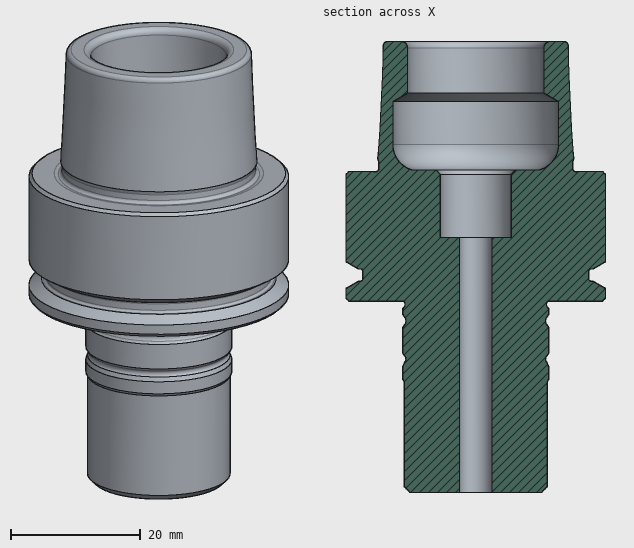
import cadquery as cq
import math


TOTAL_HEIGHT = 69.5
TAPER_LENGTH = 20.0
FLANGE_WIDTH = 20.0
FLANGE_TOP = TOTAL_HEIGHT - TAPER_LENGTH
FLANGE_BOTTOM = FLANGE_TOP - FLANGE_WIDTH

FLANGE_RADIUS = 40.0 / 2
FLANGE_CHAMFER = 0.5
GRIPPER_ROOT_RADIUS = 34.8 / 2
GRIPPER_CENTRE_Z = FLANGE_BOTTOM + 4.0
GRIPPER_RIM_WIDTH = 4.1
GRIPPER_FLANK_ANGLE = math.radians(30)
GRIPPER_SLOT_WIDTH = 1.9
GRIPPER_SLOT_FILLET = 0.4

TAPER_BASE_RADIUS = 30.2 / 2
TAPER_TOP_RADIUS = 28.5 / 2
TAPER_BASE_Z = FLANGE_TOP + 1.95
TAPER_TOP_FILLET = 0.75
NECK_RADIUS = 29.9 / 2
NECK_SHOULDER_DROP = 0.55
NECK_FOOT_FILLET = 0.55
RECESS_OUTER_RADIUS = 32.25 / 2
RECESS_DEPTH = 0.1
RECESS_FLOOR_Z = FLANGE_TOP - RECESS_DEPTH

SHANK_RADIUS = 22.0 / 2
SHANK_CHAMFER = 0.9
BAND_RADIUS = 22.5 / 2
LOWER_BAND_BOTTOM = 17.45
LOWER_BAND_TOP = 19.4
LOWER_BAND_TOP_BEVEL = 0.7
MIDDLE_BAND_BOTTOM = 21.5
MIDDLE_BAND_TOP = 25.45
UPPER_BAND_BOTTOM = 27.45
UPPER_BAND_TOP = 28.35
BAND_CHAMFER_HEIGHT = 0.4
BAND_CHAMFER_DEPTH = 0.3
UPPER_BAND_LIP = 0.15
GROOVE_SAG = 0.2

MOUTH_RADIUS = 21.0 / 2
MOUTH_FILLET = 1.05
MOUTH_BOTTOM = TOTAL_HEIGHT - 8.0
CLAMP_RADIUS = 25.5 / 2
CLAMP_SHOULDER_ANGLE = math.radians(30)
CLAMP_WALL_BOTTOM = 53.6
CLAMP_CORNER_ARC = 4.0
CLAMP_FLOOR_RADIUS = 19.75 / 2
COUPLING_RADIUS = 10.9 / 2
COUPLING_CHAMFER = 0.7
COUPLING_DEPTH = 10.4
COOLANT_RADIUS = 5.0 / 2

ARC_MIDPOINT_INSET = 1 - math.sqrt(0.5)


def turned(profile):
    """Revolve a closed (radius, z) profile a full turn about the Z axis."""
    return profile.close().revolve(360, (0, 0), (0, 1))


def band_groove(profile, lower_band_top, lower_bevel_height, upper_band_bottom):
    """Continue the shank outline up over a band edge, a hollow and the next band edge."""
    root_radius = BAND_RADIUS - BAND_CHAMFER_DEPTH
    arc_bottom = lower_band_top + lower_bevel_height
    arc_top = upper_band_bottom - BAND_CHAMFER_HEIGHT
    return (
        profile.lineTo(BAND_RADIUS, lower_band_top)
        .lineTo(root_radius, arc_bottom)
        .threePointArc((root_radius - GROOVE_SAG, (arc_bottom + arc_top) / 2), (root_radius, arc_top))
        .lineTo(BAND_RADIUS, upper_band_bottom)
    )


def make_shank():
    """Chamfered plain shank, three bands and the hollow under the flange."""
    lip_radius = BAND_RADIUS - UPPER_BAND_LIP
    lip_top = UPPER_BAND_TOP + UPPER_BAND_LIP
    profile = (
        cq.Workplane("XZ")
        .lineTo(SHANK_RADIUS - SHANK_CHAMFER, 0)
        .lineTo(SHANK_RADIUS, SHANK_CHAMFER)
        .lineTo(SHANK_RADIUS, LOWER_BAND_BOTTOM - BAND_CHAMFER_HEIGHT)
        .lineTo(BAND_RADIUS, LOWER_BAND_BOTTOM)
    )
    profile = band_groove(profile, LOWER_BAND_TOP, LOWER_BAND_TOP_BEVEL, MIDDLE_BAND_BOTTOM)
    profile = band_groove(profile, MIDDLE_BAND_TOP, BAND_CHAMFER_HEIGHT, UPPER_BAND_BOTTOM)
    profile = (
        profile.lineTo(BAND_RADIUS, UPPER_BAND_TOP)
        .lineTo(lip_radius, lip_top)
        .threePointArc(
            (lip_radius - GROOVE_SAG, (lip_top + FLANGE_BOTTOM) / 2),
            (lip_radius, FLANGE_BOTTOM),
        )
        .lineTo(0, FLANGE_BOTTOM)
    )
    return turned(profile)


def make_flange():
    """Flange disc with chamfered rims."""
    disc = cq.Workplane("XY").workplane(offset=FLANGE_BOTTOM).circle(FLANGE_RADIUS).extrude(FLANGE_WIDTH)
    return disc.edges().chamfer(FLANGE_CHAMFER)


def make_gripper_groove():
    """Ring that cuts the V groove and the narrow slot, with rounded corners, at its root."""
    half_rim = GRIPPER_RIM_WIDTH / 2
    half_slot = GRIPPER_SLOT_WIDTH / 2
    flank_depth = (half_rim - half_slot) / math.tan(GRIPPER_FLANK_ANGLE)
    flank_foot_radius = FLANGE_RADIUS - flank_depth
    profile = (
        cq.Workplane("XZ")
        .moveTo(FLANGE_RADIUS, GRIPPER_CENTRE_Z - half_rim)
        .lineTo(flank_foot_radius, GRIPPER_CENTRE_Z - half_slot)
        .lineTo(GRIPPER_ROOT_RADIUS, GRIPPER_CENTRE_Z - half_slot)
        .lineTo(GRIPPER_ROOT_RADIUS, GRIPPER_CENTRE_Z + half_slot)
        .lineTo(flank_foot_radius, GRIPPER_CENTRE_Z + half_slot)
        .lineTo(FLANGE_RADIUS, GRIPPER_CENTRE_Z + half_rim)
    )
    root_edges = cq.selectors.RadiusNthSelector(0)
    return turned(profile).edges("%CIRCLE").edges(root_edges).fillet(GRIPPER_SLOT_FILLET)


def make_face_recess():
    """Ring that cuts the shallow dish into the flange face around the neck."""
    profile = (
        cq.Workplane("XZ")
        .moveTo(NECK_RADIUS, RECESS_FLOOR_Z)
        .lineTo(NECK_RADIUS + NECK_FOOT_FILLET, RECESS_FLOOR_Z)
        .lineTo(RECESS_OUTER_RADIUS, FLANGE_TOP)
        .lineTo(NECK_RADIUS, FLANGE_TOP)
    )
    return turned(profile)


def make_taper():
    """Taper with a rounded end, on a slightly smaller neck that flares into the recess."""
    foot_radius = NECK_RADIUS + NECK_FOOT_FILLET
    foot_top = RECESS_FLOOR_Z + NECK_FOOT_FILLET
    foot_arc_inset = NECK_FOOT_FILLET * ARC_MIDPOINT_INSET
    profile = (
        cq.Workplane("XZ")
        .moveTo(0, FLANGE_BOTTOM)
        .lineTo(foot_radius, FLANGE_BOTTOM)
        .lineTo(foot_radius, RECESS_FLOOR_Z)
        .threePointArc(
            (NECK_RADIUS + foot_arc_inset, RECESS_FLOOR_Z + foot_arc_inset),
            (NECK_RADIUS, foot_top),
        )
        .lineTo(NECK_RADIUS, TAPER_BASE_Z - NECK_SHOULDER_DROP)
        .lineTo(TAPER_BASE_RADIUS, TAPER_BASE_Z)
        .lineTo(TAPER_TOP_RADIUS, TOTAL_HEIGHT)
        .lineTo(0, TOTAL_HEIGHT)
    )
    return turned(profile).faces(">Z").edges().fillet(TAPER_TOP_FILLET)


def make_bore():
    """Clamping bore, coupling bore and coolant hole as one cutting body."""
    corner_centre_radius = CLAMP_RADIUS - CLAMP_CORNER_ARC
    corner_angle = math.acos((CLAMP_FLOOR_RADIUS - corner_centre_radius) / CLAMP_CORNER_ARC)
    floor_z = CLAMP_WALL_BOTTOM - CLAMP_CORNER_ARC * math.sin(corner_angle)
    corner_arc_middle = (
        corner_centre_radius + CLAMP_CORNER_ARC * math.cos(corner_angle / 2),
        CLAMP_WALL_BOTTOM - CLAMP_CORNER_ARC * math.sin(corner_angle / 2),
    )
    mouth_arc_inset = MOUTH_FILLET * ARC_MIDPOINT_INSET
    shoulder_drop = (CLAMP_RADIUS - MOUTH_RADIUS) * math.tan(CLAMP_SHOULDER_ANGLE)
    coupling_bottom = floor_z - COUPLING_DEPTH
    profile = (
        cq.Workplane("XZ")
        .lineTo(COOLANT_RADIUS, 0)
        .lineTo(COOLANT_RADIUS, coupling_bottom)
        .lineTo(COUPLING_RADIUS, coupling_bottom)
        .lineTo(COUPLING_RADIUS, floor_z - COUPLING_CHAMFER)
        .lineTo(COUPLING_RADIUS + COUPLING_CHAMFER, floor_z)
        .lineTo(CLAMP_FLOOR_RADIUS, floor_z)
        .threePointArc(corner_arc_middle, (CLAMP_RADIUS, CLAMP_WALL_BOTTOM))
        .lineTo(CLAMP_RADIUS, MOUTH_BOTTOM - shoulder_drop)
        .lineTo(MOUTH_RADIUS, MOUTH_BOTTOM)
        .lineTo(MOUTH_RADIUS, TOTAL_HEIGHT - MOUTH_FILLET)
        .threePointArc(
            (MOUTH_RADIUS + mouth_arc_inset, TOTAL_HEIGHT - mouth_arc_inset),
            (MOUTH_RADIUS + MOUTH_FILLET, TOTAL_HEIGHT),
        )
        .lineTo(0, TOTAL_HEIGHT)
    )
    return turned(profile)


flange = make_flange().cut(make_gripper_groove()).cut(make_face_recess())
body = make_shank().union(flange).union(make_taper())
result = body.cut(make_bore())